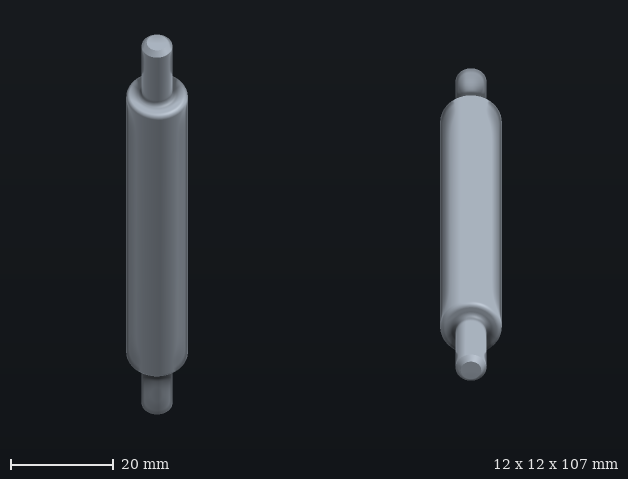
import cadquery as cq

body_diameter = 12.0
journal_diameter = 6.0
total_length = 107.0
journal_length = 15.0
end_chamfer = 1.0
shoulder_round = 1.0
root_fillet = 1.0

body_radius = body_diameter / 2
journal_radius = journal_diameter / 2
body_length = total_length - 2 * journal_length


def make_body():
    """Main cylinder with both shoulder edges rounded."""
    body = cq.Workplane("XY").workplane(offset=journal_length).circle(body_radius).extrude(body_length)
    return body.faces("<Z or >Z").edges().fillet(shoulder_round)


def make_lower_journal():
    """Journal with a chamfered free end and a concave fillet flaring into the shoulder."""
    outline = (
        cq.Workplane("XZ")
        .lineTo(journal_radius - end_chamfer, 0)
        .lineTo(journal_radius, end_chamfer)
        .lineTo(journal_radius, journal_length - root_fillet)
        .radiusArc((journal_radius + root_fillet, journal_length), root_fillet)
        .lineTo(0, journal_length)
        .close()
    )
    return outline.revolve(360, (0, 0), (0, 1))


lower_journal = make_lower_journal()
upper_journal = lower_journal.mirror("XY", (0, 0, total_length / 2))

result = make_body().union(lower_journal).union(upper_journal)